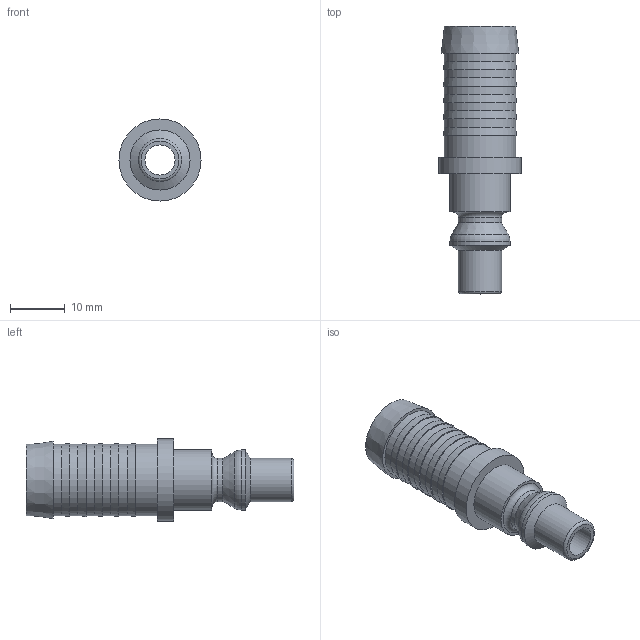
import cadquery as cq
import math

total_length = 49.0
tip_y = -total_length / 2
hose_end_y = total_length / 2

FULL_TURN = 360

tail_length = 24.0
tail_radius = 6.5
barb_radius = 7.1
barb_length = 5.0
ridge_height = 0.2
ridge_pitch = 3.0
ridge_length = ridge_pitch / 2
ridge_count = 5

collar_radius = 7.5
collar_width = 3.0
collar_hose_side_y = hose_end_y - tail_length
collar_plug_side_y = collar_hose_side_y - collar_width
shank_radius = 5.5
shank_length = 7.0
shank_end_y = collar_plug_side_y - shank_length

plug_radius = 3.95
neck_length = 2.0
neck_fillet = 1.0
bead_radius = shank_radius
bead_length = 5.0
bead_back_angle = 30.0
bead_front_angle = 60.0
bead_rounding = 2.5
tip_rounding = 0.5

bore_radius = 2.75


def revolve_about_y(profile):
    return profile.close().revolve(FULL_TURN, (0, 0, 0), (0, 1, 0))


def make_hose_tail():
    barb_end_y = hose_end_y - barb_length
    profile = (
        cq.Workplane("XY")
        .moveTo(0, hose_end_y)
        .lineTo(tail_radius, hose_end_y)
        .lineTo(barb_radius, barb_end_y)
        .lineTo(tail_radius, barb_end_y)
    )
    for index in range(ridge_count):
        ridge_start_y = barb_end_y - ridge_length - index * ridge_pitch
        ridge_end_y = ridge_start_y - ridge_length
        profile = (
            profile.lineTo(tail_radius, ridge_start_y)
            .lineTo(tail_radius + ridge_height, ridge_end_y)
            .lineTo(tail_radius, ridge_end_y)
        )
    profile = profile.lineTo(tail_radius, collar_hose_side_y).lineTo(0, collar_hose_side_y)
    return revolve_about_y(profile)


def make_collar_and_shank():
    profile = (
        cq.Workplane("XY")
        .moveTo(0, collar_hose_side_y)
        .lineTo(collar_radius, collar_hose_side_y)
        .lineTo(collar_radius, collar_plug_side_y)
        .lineTo(shank_radius, collar_plug_side_y)
        .lineTo(shank_radius, shank_end_y)
        .lineTo(0, shank_end_y)
    )
    return revolve_about_y(profile)


def make_plug():
    bead_start_y = shank_end_y - neck_length
    bead_end_y = bead_start_y - bead_length
    bead_height = bead_radius - plug_radius
    back_angle = math.radians(bead_back_angle)
    front_angle = math.radians(bead_front_angle)

    corner_y = bead_start_y - bead_height / math.tan(back_angle)
    tangent_length = bead_rounding * math.tan(back_angle / 2)
    cone_end_y = corner_y + tangent_length * math.cos(back_angle)
    cone_end_radius = bead_radius - tangent_length * math.sin(back_angle)
    rounding_end_y = corner_y - tangent_length
    front_cone_start_y = bead_end_y + bead_height / math.tan(front_angle)

    profile = (
        cq.Workplane("XY")
        .moveTo(0, shank_end_y)
        .lineTo(plug_radius + neck_fillet, shank_end_y)
        .radiusArc((plug_radius, shank_end_y - neck_fillet), -neck_fillet)
        .lineTo(plug_radius, bead_start_y)
        .lineTo(cone_end_radius, cone_end_y)
        .radiusArc((bead_radius, rounding_end_y), bead_rounding)
        .lineTo(bead_radius, front_cone_start_y)
        .lineTo(plug_radius, bead_end_y)
        .lineTo(plug_radius, tip_y + tip_rounding)
        .radiusArc((plug_radius - tip_rounding, tip_y), tip_rounding)
        .lineTo(0, tip_y)
    )
    return revolve_about_y(profile)


def make_bore():
    return cq.Workplane("XZ", origin=(0, hose_end_y, 0)).circle(bore_radius).extrude(total_length)


body = make_hose_tail().union(make_collar_and_shank()).union(make_plug())
result = body.cut(make_bore())